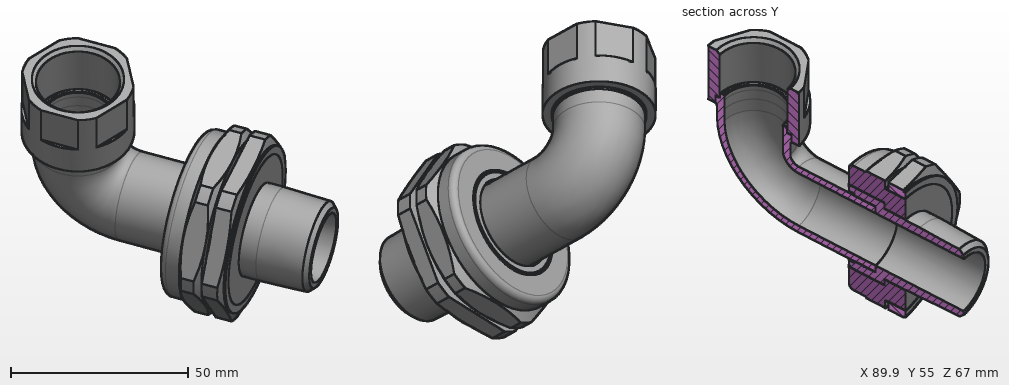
import cadquery as cq
import math


pipe_diameter = 26.0
pipe_bore = 20.35
bend_radius = 16.0
inlet_shoulder_diameter = 26.9
inlet_shoulder_bottom = 20.45
inlet_shoulder_chamfer = (inlet_shoulder_diameter - pipe_diameter) / 2
inlet_shoulder_top = 24.0
inlet_nose_diameter = 23.7
inlet_nose_chamfer = 0.5
inlet_end = 26.0
inlet_bore_chamfer = 0.25

union_diameter = 32.0
union_flats = 30.0
union_bottom = 21.0
union_top = 42.0
union_hex_height = 12.0
union_mouth_diameter = 26.0
union_mouth_depth = (union_mouth_diameter - inlet_nose_diameter) / 2

hex_flats = 50.0
hex_corner_diameter = 55.0

flange_face = 33.4
flange_diameter = 49.0
flange_fillet = 2.0
gland_hex_start = 39.4
gland_hex_end = 46.4
gland_chamfer_angle = 30.0
gland_thread_diameter = 44.0
gland_mouth_chamfer = 0.25

locknut_start = 47.4
locknut_end = 53.45
locknut_boss_diameter = 45.0
locknut_boss_length = 0.6
locknut_chamfer_angle = 15.0
locknut_rim_diameter = 49.0
locknut_rim_length = 0.55

sleeve_diameter = 32.0
sleeve_chamfer = 0.5
sleeve_mouth_diameter = 26.9
sleeve_mouth_depth = 2.0
sleeve_end = 46.0
socket_end = 43.0
tail_diameter = 27.43
taper_start = 58.6
tail_end = 73.93
tail_chamfer = 1.5
taper_ratio = 1 / 16


def revolve_about_x(outline):
    """Turn an outline of (x, radius) points about the outlet axis."""
    return cq.Workplane("XY").polyline(outline).close().revolve(360, (0, 0), (1, 0))


def revolve_about_z(outline):
    """Turn an outline of (radius, z) points about the inlet axis."""
    return cq.Workplane("XZ").polyline(outline).close().revolve(360, (0, 0), (0, 1))


def x_cylinder(diameter, start, end):
    return cq.Workplane("YZ").workplane(offset=start).circle(diameter / 2).extrude(end - start)


def z_cylinder(diameter, start, end):
    return cq.Workplane("XY").workplane(offset=start).circle(diameter / 2).extrude(end - start)


def corner_distance(flats):
    """Distance across the corners of a hexagon with the given distance across its flats."""
    return flats / math.cos(math.pi / 6)


def x_hexagon(flats, start, end):
    """Hexagonal prism along X with flats facing +Z and -Z."""
    plane = cq.Workplane("YZ").workplane(offset=start)
    return plane.polygon(6, corner_distance(flats)).extrude(end - start)


def chamfer_length(outer_diameter, inner_diameter, angle):
    """Axial length of a conical chamfer whose angle is measured from the end face."""
    return (outer_diameter - inner_diameter) / 2 * math.tan(math.radians(angle))


def bent_rod(diameter):
    """Solid rod along the pipe centreline, from the inlet shoulder to the outlet socket."""
    path = (
        cq.Workplane("XZ")
        .moveTo(0, inlet_shoulder_top)
        .lineTo(0, bend_radius)
        .radiusArc((bend_radius, 0), -bend_radius)
        .lineTo(socket_end, 0)
    )
    return cq.Workplane("XY").workplane(offset=inlet_shoulder_top).circle(diameter / 2).sweep(path)


def inlet_plug():
    """Stepped outside of the elbow's inlet end; it also shapes the seat in the union nut."""
    return revolve_about_z([
        (0, inlet_shoulder_bottom),
        (pipe_diameter / 2, inlet_shoulder_bottom),
        (inlet_shoulder_diameter / 2, inlet_shoulder_bottom + inlet_shoulder_chamfer),
        (inlet_shoulder_diameter / 2, inlet_shoulder_top),
        (inlet_nose_diameter / 2, inlet_shoulder_top),
        (inlet_nose_diameter / 2, inlet_end - inlet_nose_chamfer),
        (inlet_nose_diameter / 2 - inlet_nose_chamfer, inlet_end),
        (0, inlet_end),
    ])


def make_elbow():
    body = bent_rod(pipe_diameter).union(inlet_plug())
    body = body.cut(bent_rod(pipe_bore))
    body = body.cut(z_cylinder(pipe_bore, inlet_shoulder_bottom, inlet_end))
    inner_rim = cq.selectors.RadiusNthSelector(0)
    return body.faces(">Z").edges(inner_rim).chamfer(inlet_bore_chamfer)


def make_union_nut():
    hex_bottom = union_top - union_hex_height
    hex_plane = cq.Workplane("XY").workplane(offset=hex_bottom)
    hex_part = hex_plane.polygon(6, corner_distance(union_flats)).extrude(union_hex_height)
    hex_part = hex_part.intersect(z_cylinder(union_diameter, hex_bottom, union_top))
    nut = z_cylinder(union_diameter, union_bottom, hex_bottom).union(hex_part)
    bore = revolve_about_z([
        (0, union_bottom),
        (inlet_shoulder_diameter / 2, union_bottom),
        (inlet_shoulder_diameter / 2, inlet_shoulder_top),
        (inlet_nose_diameter / 2, inlet_shoulder_top),
        (inlet_nose_diameter / 2, union_top - union_mouth_depth),
        (union_mouth_diameter / 2, union_top),
        (0, union_top),
    ])
    return nut.cut(bore)


def make_gland():
    flange = x_cylinder(flange_diameter, flange_face, gland_hex_start)
    flange = flange.faces("<X").edges().fillet(flange_fillet)

    front_length = chamfer_length(hex_corner_diameter, flange_diameter, gland_chamfer_angle)
    back_length = chamfer_length(hex_corner_diameter, hex_flats, gland_chamfer_angle)
    turned_blank = revolve_about_x([
        (gland_hex_start, 0),
        (gland_hex_start, flange_diameter / 2),
        (gland_hex_start + front_length, hex_corner_diameter / 2),
        (gland_hex_end - back_length, hex_corner_diameter / 2),
        (gland_hex_end, hex_flats / 2),
        (gland_hex_end, 0),
    ])
    hex_part = x_hexagon(hex_flats, gland_hex_start, gland_hex_end).intersect(turned_blank)

    thread = x_cylinder(gland_thread_diameter, gland_hex_end, locknut_end)
    bore = revolve_about_x([
        (flange_face, 0),
        (flange_face, sleeve_diameter / 2 + gland_mouth_chamfer),
        (flange_face + gland_mouth_chamfer, sleeve_diameter / 2),
        (sleeve_end, sleeve_diameter / 2),
        (sleeve_end, tail_diameter / 2),
        (locknut_end, tail_diameter / 2),
        (locknut_end, 0),
    ])
    return flange.union(hex_part).union(thread).cut(bore)


def make_locknut():
    rim_start = locknut_end - locknut_rim_length
    cone_length = chamfer_length(hex_corner_diameter, locknut_rim_diameter, locknut_chamfer_angle)
    turned_blank = revolve_about_x([
        (locknut_start, 0),
        (locknut_start, hex_corner_diameter / 2),
        (rim_start - cone_length, hex_corner_diameter / 2),
        (rim_start, locknut_rim_diameter / 2),
        (rim_start, 0),
    ])
    hex_part = x_hexagon(hex_flats, locknut_start, rim_start).intersect(turned_blank)
    rim = x_cylinder(locknut_rim_diameter, rim_start, locknut_end)

    boss_start = locknut_start - locknut_boss_length
    boss = revolve_about_x([
        (boss_start, 0),
        (boss_start, gland_thread_diameter / 2),
        (locknut_start, locknut_boss_diameter / 2),
        (locknut_start, 0),
    ])
    bore = x_cylinder(gland_thread_diameter, boss_start, locknut_end)
    return hex_part.union(rim).union(boss).cut(bore)


def make_tail():
    chamfer_start = tail_end - tail_chamfer
    taper_end_radius = tail_diameter / 2 - (chamfer_start - taper_start) * taper_ratio / 2
    return revolve_about_x([
        (flange_face, sleeve_mouth_diameter / 2),
        (flange_face, sleeve_diameter / 2 - sleeve_chamfer),
        (flange_face + sleeve_chamfer, sleeve_diameter / 2),
        (sleeve_end, sleeve_diameter / 2),
        (sleeve_end, tail_diameter / 2),
        (taper_start, tail_diameter / 2),
        (chamfer_start, taper_end_radius),
        (tail_end, taper_end_radius - tail_chamfer),
        (tail_end, pipe_bore / 2),
        (socket_end, pipe_bore / 2),
        (socket_end, pipe_diameter / 2),
        (flange_face + sleeve_mouth_depth, pipe_diameter / 2),
        (flange_face + sleeve_mouth_depth, sleeve_mouth_diameter / 2),
    ])


elbow = make_elbow()
union_nut = make_union_nut()
gland = make_gland()
locknut = make_locknut()
tail = make_tail()

result = cq.Compound.makeCompound([
    elbow.val(),
    union_nut.val(),
    gland.val(),
    locknut.val(),
    tail.val(),
])